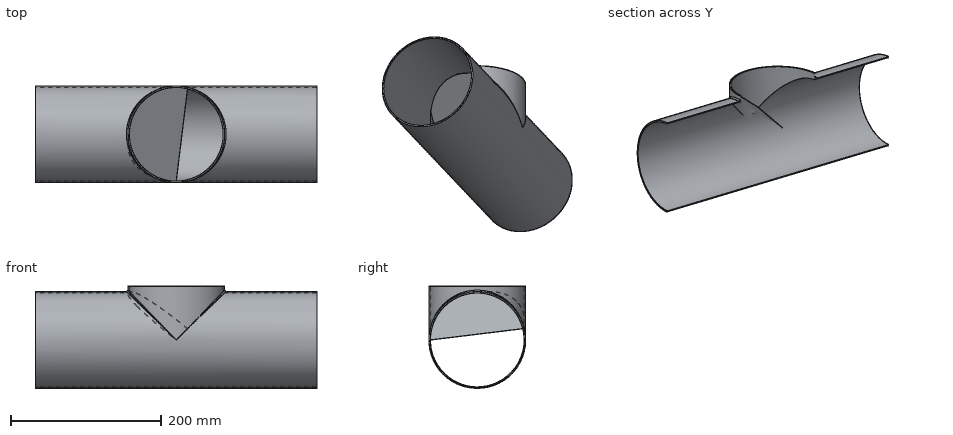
import cadquery as cq

run_length = 375.0
outer_diameter = 129.0
inner_diameter = 125.0
overall_height = 136.0

outer_radius = outer_diameter / 2
inner_radius = inner_diameter / 2
branch_height = overall_height - outer_radius

weld_leg = 2.0

baffle_thickness = 0.5
baffle_skew = 15.0


def run_cylinder(radius):
    return cq.Workplane("YZ").circle(radius).extrude(run_length / 2, both=True)


def branch_cylinder(radius):
    return cq.Workplane("XY").circle(radius).extrude(branch_height)


def weld(side):
    """Weld on the +X (side = 1) or -X (side = -1) half of the joint."""
    reach = outer_radius + weld_leg
    upright = cq.Workplane("XY").ellipse(reach, outer_radius).extrude(reach)
    level = cq.Workplane("YZ").ellipse(outer_radius, reach).extrude(side * reach)
    bevel_radius = (outer_radius + reach) / 2**0.5
    bevel_plane = cq.Plane(origin=(0, 0, 0), xDir=(0, 1, 0), normal=(-side, 0, 1))
    bevel = cq.Workplane(bevel_plane).ellipse(outer_radius, bevel_radius).extrude(2 * reach, both=True)
    return upright.intersect(level).intersect(bevel)


def baffle(bore):
    """Flat plate from the top of the -X joint to a skewed free edge, trimmed by the bore."""
    near_end = cq.Vector(0, -inner_radius, 0)
    far_end = cq.Vector(baffle_skew, (inner_radius**2 - baffle_skew**2) ** 0.5, baffle_skew)
    top = cq.Vector(-inner_radius, 0, inner_radius)
    edge = far_end - near_end
    plane = cq.Plane(origin=near_end, xDir=edge, normal=edge.cross(top - near_end))
    margin = outer_radius
    plate = (
        cq.Workplane(plane)
        .moveTo(-margin, 0)
        .lineTo(edge.Length + margin, 0)
        .lineTo(edge.Length + margin, outer_diameter)
        .lineTo(-margin, outer_diameter)
        .close()
        .extrude(baffle_thickness / 2, both=True)
    )
    return plate.intersect(bore)


body = run_cylinder(outer_radius).union(branch_cylinder(outer_radius))
for side in (1, -1):
    body = body.union(weld(side))

bore = run_cylinder(inner_radius).union(branch_cylinder(inner_radius))
result = body.cut(bore).union(baffle(bore))